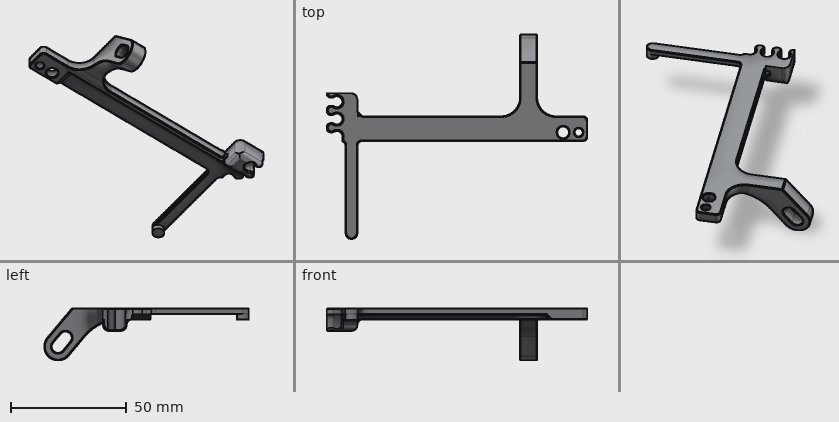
import cadquery as cq
import math


LENGTH = 112.8
BEAM_WIDTH = 10.8
BEAM_THICKNESS = 5.0
PLATE_THICKNESS = 2.8
RIB_WIDTH = 2.5
BEAM_CORNER_RADIUS = 2.0
EDGE_CHAMFER = 0.4
CHAMFER_ANGLE = 45.0
FULL_DEPTH_START = 97.0
RIB_FOOT_CHAMFER = 0.6
RIB_EDGE_CHAMFER = 0.5

TOOTH_RADIUS = 2.1
TOOTH_PITCH = 7.5
NOTCH_CENTER_X = 4.5
TOOTH_CHAMFER = 0.6

PAD_RIGHT = 13.4
PAD_REAR = 10.0
PAD_DEPTH = 10.0
PAD_CORNER_RADIUS = 3.0
PAD_FRONT_OVERHANG = 0.4
GUSSET_LEG = 2.0

ARM_WIDTH = 5.2
ARM_FILLET = 2.0
OVERALL_Y = 88.47

TAB_LEFT = 83.6
TAB_WIDTH = 7.5
TAB_REAR = 35.35
TAB_DEPTH = 22.69
TAB_END_RADIUS = 6.0
TAB_ANGLE = math.radians(50)
TAB_FLARE_RADIUS = 8.0
TAB_UNDER_RADIUS = 20.0
TAB_ROOT_DEPTH = 1.5
SLOT_RADIUS = 2.7
SLOT_SPACING = 5.0
SLOT_CHAMFER = 0.4

HOLES = [(102.3, 5.0), (109.0, 3.4)]
HOLE_Y = -7.0
HOLE_CHAMFER = 0.4

PAD_BLEND_RADIUS = RIB_WIDTH - PAD_FRONT_OVERHANG
PAD_EDGE_RADIUS = PAD_DEPTH - BEAM_THICKNESS - PAD_BLEND_RADIUS
HALF_PITCH = TOOTH_PITCH / 2
TOOTH_TO_NOTCH = math.hypot(NOTCH_CENTER_X - TOOTH_RADIUS, HALF_PITCH)
NOTCH_RADIUS = TOOTH_TO_NOTCH - TOOTH_RADIUS
NOTCH_RIGHT = NOTCH_CENTER_X + NOTCH_RADIUS
TOOTH_YS = [PAD_REAR - i * TOOTH_PITCH for i in range(3)]
TANGENT_X = TOOTH_RADIUS + (NOTCH_CENTER_X - TOOTH_RADIUS) * TOOTH_RADIUS / TOOTH_TO_NOTCH
TANGENT_DY = HALF_PITCH * TOOTH_RADIUS / TOOTH_TO_NOTCH
ARM_RADIUS = ARM_WIDTH / 2
ARM_RIGHT = PAD_RIGHT
ARM_X = ARM_RIGHT - ARM_RADIUS
ARM_TIP = TAB_REAR - OVERALL_Y
ARM_END_Y = ARM_TIP + ARM_RADIUS
TAB_RIGHT = TAB_LEFT + TAB_WIDTH
COS_45 = math.sqrt(0.5)
TOLERANCE = 1e-3


def chamfer_edges(body, is_chosen, size):
    """Chamfer the edges whose bounding box satisfies is_chosen."""
    edges = [edge for edge in body.edges().vals() if is_chosen(edge.BoundingBox())]
    return body.newObject(edges).chamfer(size)


def is_at(value, place):
    return abs(value - place) < TOLERANCE


def is_level(box, z):
    return is_at(box.zmin, z) and is_at(box.zmax, z)


def quarter_arc(sketch, center, start, end, radius):
    """Add an arc about center, from the start angle (the current point) to the end angle, in degrees."""
    points = []
    for angle in ((start + end) / 2, end):
        turn = math.radians(angle)
        points.append((center[0] + radius * math.cos(turn), center[1] + radius * math.sin(turn)))
    return sketch.threePointArc(*points)


def make_outline():
    """Plan outline of the beam, teeth, pad and arm."""
    sketch = cq.Workplane("XY").moveTo(0, PAD_REAR)
    for tooth_y in TOOTH_YS:
        notch_y = tooth_y - HALF_PITCH
        tooth_end = (TANGENT_X, tooth_y - TANGENT_DY)
        if tooth_y == PAD_REAR:
            middle = (TOOTH_RADIUS * (1 - COS_45), tooth_y - TOOTH_RADIUS * COS_45)
            sketch = sketch.threePointArc(middle, tooth_end)
        else:
            sketch = sketch.threePointArc((0, tooth_y), tooth_end)
        if tooth_y != TOOTH_YS[-1]:
            next_start = (TANGENT_X, notch_y - HALF_PITCH + TANGENT_DY)
            sketch = sketch.threePointArc((NOTCH_RIGHT, notch_y), next_start)
        else:
            middle = (NOTCH_CENTER_X + NOTCH_RADIUS * COS_45, notch_y + NOTCH_RADIUS * COS_45)
            sketch = sketch.threePointArc(middle, (NOTCH_RIGHT, notch_y))

    fillet_y = -BEAM_WIDTH - ARM_FILLET
    fillet_left = ARM_RIGHT - ARM_WIDTH - ARM_FILLET
    notch_cut = NOTCH_RIGHT - fillet_left
    cut_y = fillet_y + math.sqrt(ARM_FILLET**2 - notch_cut**2)
    half_angle = math.acos(notch_cut / ARM_FILLET) / 2
    left_middle = (
        fillet_left + ARM_FILLET * math.cos(half_angle),
        fillet_y + ARM_FILLET * math.sin(half_angle),
    )
    right_middle = (
        ARM_RIGHT + ARM_FILLET * (1 - COS_45),
        fillet_y + ARM_FILLET * COS_45,
    )
    sketch = (
        sketch.lineTo(NOTCH_RIGHT, cut_y)
        .threePointArc(left_middle, (ARM_RIGHT - ARM_WIDTH, fillet_y))
        .lineTo(ARM_RIGHT - ARM_WIDTH, ARM_END_Y)
        .threePointArc((ARM_X, ARM_TIP), (ARM_RIGHT, ARM_END_Y))
        .lineTo(ARM_RIGHT, fillet_y)
        .threePointArc(right_middle, (ARM_RIGHT + ARM_FILLET, -BEAM_WIDTH))
    )

    inset = BEAM_CORNER_RADIUS * (1 - COS_45)
    sketch = (
        sketch.lineTo(LENGTH - BEAM_CORNER_RADIUS, -BEAM_WIDTH)
        .threePointArc((LENGTH - inset, inset - BEAM_WIDTH), (LENGTH, BEAM_CORNER_RADIUS - BEAM_WIDTH))
        .lineTo(LENGTH, -BEAM_CORNER_RADIUS)
        .threePointArc((LENGTH - inset, -inset), (LENGTH - BEAM_CORNER_RADIUS, 0))
        .lineTo(PAD_RIGHT, 0)
    )

    pad_inset = PAD_CORNER_RADIUS * (1 - COS_45)
    return (
        sketch.lineTo(PAD_RIGHT, PAD_REAR - PAD_CORNER_RADIUS)
        .threePointArc(
            (PAD_RIGHT - pad_inset, PAD_REAR - pad_inset),
            (PAD_RIGHT - PAD_CORNER_RADIUS, PAD_REAR),
        )
        .close()
    )


def is_tooth_edge(box):
    """Top edges of the teeth and notches."""
    return is_level(box, 0) and box.xmax < NOTCH_RIGHT + TOLERANCE


def is_beam_edge(box):
    """Rims of the beam and arm, leaving the pad sides plain."""
    on_arm_or_front = box.ymax < TOLERANCE - BEAM_WIDTH
    on_right = box.xmin > LENGTH - BEAM_CORNER_RADIUS - TOLERANCE
    on_rear = box.ymax < TOLERANCE and box.xmin > PAD_RIGHT - TOLERANCE
    on_top = is_level(box, 0) and (on_arm_or_front or on_rear)
    on_plate = is_level(box, -PLATE_THICKNESS) and on_arm_or_front
    on_bottom = is_level(box, -BEAM_THICKNESS) and (on_arm_or_front or on_right)
    on_slope = on_arm_or_front and is_at(box.zmin, -BEAM_THICKNESS) and is_at(box.zmax, -PLATE_THICKNESS)
    return on_top or on_plate or on_bottom or on_slope


def make_beam():
    """Beam with its underside cut away in front of the rear rib, up to a sloped end."""
    slope_run = BEAM_THICKNESS - PLATE_THICKNESS
    recess = (
        cq.Workplane("XZ", origin=(0, -RIB_WIDTH, 0))
        .moveTo(-BEAM_WIDTH, -BEAM_THICKNESS)
        .lineTo(FULL_DEPTH_START, -BEAM_THICKNESS)
        .lineTo(FULL_DEPTH_START - slope_run, -PLATE_THICKNESS)
        .lineTo(-BEAM_WIDTH, -PLATE_THICKNESS)
        .close()
        .extrude(OVERALL_Y)
    )
    recess = recess.edges(cq.selectors.BoxSelector(
        (0, -RIB_WIDTH - TOLERANCE, -BEAM_THICKNESS + TOLERANCE),
        (LENGTH, -RIB_WIDTH + TOLERANCE, 0),
    )).chamfer(RIB_FOOT_CHAMFER)
    beam = make_outline().extrude(-BEAM_THICKNESS).cut(recess)
    beam = chamfer_edges(beam, is_beam_edge, EDGE_CHAMFER)
    return chamfer_edges(beam, is_tooth_edge, TOOTH_CHAMFER)


def make_rib_edge_cut():
    """Prism that bevels the lower front edge of the rib, up to the full-depth end."""
    corner = cq.Workplane("YZ", origin=(0, -RIB_WIDTH, -BEAM_THICKNESS))
    triangle = corner.polyline([(0, 0), (RIB_EDGE_CHAMFER, 0), (0, RIB_EDGE_CHAMFER)]).close()
    return triangle.extrude(FULL_DEPTH_START)


def is_notch_bottom_edge(box):
    """Bottom edges of the teeth and notches, without the straight ends of the rounded faces."""
    beside_notches = box.xmax < NOTCH_RIGHT + TOLERANCE
    is_straight = box.ymax - box.ymin < TOLERANCE
    return is_level(box, -PAD_DEPTH) and beside_notches and not is_straight


def make_pad():
    """Deep block behind the upper teeth, rounded below and blended into the rib."""
    edge_z = PAD_EDGE_RADIUS - PAD_DEPTH
    rear_y = PAD_REAR - PAD_EDGE_RADIUS
    front_y = PAD_EDGE_RADIUS - PAD_FRONT_OVERHANG
    along_y = cq.Workplane("YZ").moveTo(PAD_REAR, 0).lineTo(PAD_REAR, edge_z)
    along_y = quarter_arc(along_y, (rear_y, edge_z), 0, -90, PAD_EDGE_RADIUS)
    along_y = along_y.lineTo(front_y, -PAD_DEPTH)
    along_y = quarter_arc(along_y, (front_y, edge_z), -90, -180, PAD_EDGE_RADIUS)
    along_y = quarter_arc(along_y, (-RIB_WIDTH, edge_z), 0, 90, PAD_BLEND_RADIUS)
    along_y = along_y.lineTo(-RIB_WIDTH, 0).close().extrude(LENGTH)

    edge_x = PAD_RIGHT - PAD_EDGE_RADIUS
    blend_x = PAD_RIGHT + PAD_BLEND_RADIUS
    along_x = cq.Workplane("XZ", origin=(0, PAD_REAR, 0)).lineTo(0, -PAD_DEPTH).lineTo(edge_x, -PAD_DEPTH)
    along_x = quarter_arc(along_x, (edge_x, edge_z), -90, 0, PAD_EDGE_RADIUS)
    along_x = quarter_arc(along_x, (blend_x, edge_z), 180, 90, PAD_BLEND_RADIUS)
    along_x = along_x.lineTo(blend_x, 0).close().extrude(PAD_REAR + RIB_WIDTH)

    pad = make_outline().extrude(-PAD_DEPTH).intersect(along_y).intersect(along_x)
    pad = chamfer_edges(pad, is_notch_bottom_edge, TOOTH_CHAMFER)
    return chamfer_edges(pad, is_tooth_edge, TOOTH_CHAMFER)


def make_gusset():
    """Small sloped web in the corner between the pad and the rear of the beam."""
    plan = (
        cq.Workplane("XY", origin=(PAD_RIGHT, 0, -BEAM_THICKNESS))
        .polyline([(0, 0), (GUSSET_LEG, 0), (0, GUSSET_LEG)])
        .close()
        .extrude(GUSSET_LEG)
    )
    slope = (
        cq.Workplane("XZ", origin=(PAD_RIGHT, GUSSET_LEG, -BEAM_THICKNESS))
        .polyline([(0, 0), (GUSSET_LEG, 0), (0, GUSSET_LEG)])
        .close()
        .extrude(GUSSET_LEG)
    )
    return plan.intersect(slope)


def make_arm_post():
    """Round post hanging below the tip of the arm."""
    return (
        cq.Workplane("XY", origin=(ARM_X, ARM_END_Y, -BEAM_THICKNESS))
        .circle(ARM_RADIUS)
        .extrude(BEAM_THICKNESS - EDGE_CHAMFER)
    )


def make_slot(center_y, center_z):
    """Slot through the tab, parallel to its slant and chamfered at both mouths."""
    mid_y = center_y - SLOT_SPACING / 2 * math.cos(TAB_ANGLE)
    mid_z = center_z + SLOT_SPACING / 2 * math.sin(TAB_ANGLE)
    slot = (
        cq.Workplane("YZ", origin=(TAB_LEFT, mid_y, mid_z))
        .slot2D(SLOT_SPACING + 2 * SLOT_RADIUS, 2 * SLOT_RADIUS, -math.degrees(TAB_ANGLE))
        .extrude(TAB_WIDTH)
    )
    mouth_radius = SLOT_RADIUS + SLOT_CHAMFER
    for face_x, direction in ((TAB_LEFT, 1), (TAB_RIGHT, -1)):
        mouth = (
            cq.Workplane("YZ", origin=(face_x, mid_y, mid_z))
            .slot2D(SLOT_SPACING + 2 * mouth_radius, 2 * mouth_radius, -math.degrees(TAB_ANGLE))
            .extrude(direction * SLOT_CHAMFER, taper=CHAMFER_ANGLE)
        )
        slot = slot.union(mouth)
    return slot


def is_tab_rim_edge(box):
    """Edges around both sides of the tab, its bend and the top of its flares."""
    beyond_beam = box.ymin > -TOLERANCE
    on_side = box.xmax - box.xmin < TOLERANCE and box.ymax - box.ymin > TOLERANCE
    return beyond_beam and (on_side or is_level(box, 0))


def make_hole(x, diameter):
    """Through hole with both rims chamfered."""
    radius = diameter / 2
    rim = radius + HOLE_CHAMFER
    half_section = [
        (0, 0),
        (rim, 0),
        (radius, -HOLE_CHAMFER),
        (radius, HOLE_CHAMFER - BEAM_THICKNESS),
        (rim, -BEAM_THICKNESS),
        (0, -BEAM_THICKNESS),
    ]
    section = cq.Workplane("XZ", origin=(x, HOLE_Y, 0)).polyline(half_section).close()
    return section.revolve(360, (0, 0, 0), (0, 1, 0))


def make_tab():
    """Tab that leaves the rear of the beam, flared in plan and bent down to a slotted end."""
    sin_a = math.sin(TAB_ANGLE)
    cos_a = math.cos(TAB_ANGLE)
    center_y = TAB_REAR - TAB_END_RADIUS
    center_z = TAB_END_RADIUS - TAB_DEPTH
    upper = (center_y + TAB_END_RADIUS * sin_a, center_z + TAB_END_RADIUS * cos_a)
    lower = (center_y - TAB_END_RADIUS * sin_a, center_z - TAB_END_RADIUS * cos_a)
    tip = (center_y + TAB_END_RADIUS * cos_a, center_z - TAB_END_RADIUS * sin_a)
    bend_y = upper[0] + upper[1] * cos_a / sin_a
    arc_z = -BEAM_THICKNESS - TAB_UNDER_RADIUS
    arc_start_z = arc_z + TAB_UNDER_RADIUS * cos_a
    arc_start_y = lower[0] - (arc_start_z - lower[1]) * cos_a / sin_a
    arc_y = arc_start_y - TAB_UNDER_RADIUS * sin_a
    half_angle = TAB_ANGLE / 2
    arc_middle = (
        arc_y + TAB_UNDER_RADIUS * math.sin(half_angle),
        arc_z + TAB_UNDER_RADIUS * math.cos(half_angle),
    )
    flare = TAB_FLARE_RADIUS
    profile = (
        cq.Workplane("YZ", origin=(TAB_LEFT - flare, 0, 0))
        .moveTo(-TAB_ROOT_DEPTH, 0)
        .lineTo(bend_y, 0)
        .lineTo(*upper)
        .threePointArc(tip, lower)
        .lineTo(arc_start_y, arc_start_z)
        .threePointArc(arc_middle, (arc_y, -BEAM_THICKNESS))
        .lineTo(-TAB_ROOT_DEPTH, -BEAM_THICKNESS)
        .close()
        .extrude(TAB_WIDTH + 2 * flare)
    )
    flare_step = flare * (1 - COS_45)
    plan = (
        cq.Workplane("XY")
        .moveTo(TAB_LEFT - flare, 0)
        .threePointArc((TAB_LEFT - flare_step, flare_step), (TAB_LEFT, flare))
        .lineTo(TAB_LEFT, TAB_REAR)
        .lineTo(TAB_RIGHT, TAB_REAR)
        .lineTo(TAB_RIGHT, flare)
        .threePointArc((TAB_RIGHT + flare_step, flare_step), (TAB_RIGHT + flare, 0))
        .lineTo(TAB_RIGHT + flare, -TAB_ROOT_DEPTH)
        .lineTo(TAB_LEFT - flare, -TAB_ROOT_DEPTH)
        .close()
        .extrude(-TAB_DEPTH)
    )
    tab = chamfer_edges(profile.intersect(plan), is_tab_rim_edge, EDGE_CHAMFER)
    slot = make_slot(center_y, center_z)
    return tab.cut(slot)


result = make_beam()
for feature in (make_pad(), make_gusset(), make_arm_post(), make_tab()):
    result = result.union(feature)
result = result.cut(make_rib_edge_cut())
for hole_x, hole_diameter in HOLES:
    result = result.cut(make_hole(hole_x, hole_diameter))
result = result.clean()